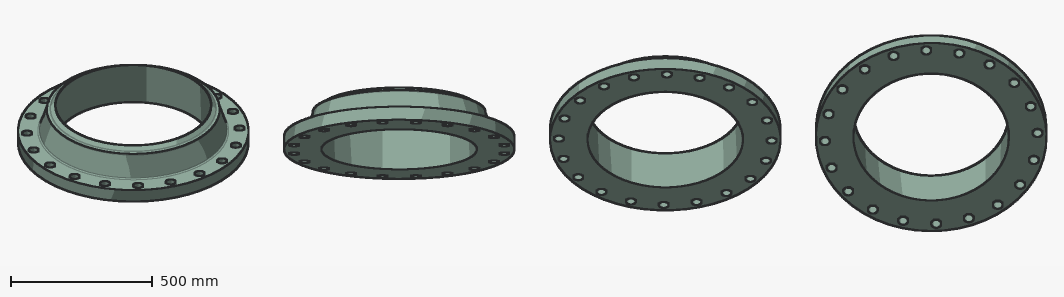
import cadquery as cq

flange_diameter = 812.8
flange_thickness = 47.8
overall_height = 152.4
bore_diameter = 547.7

bolt_count = 20
bolt_circle_diameter = 749.3
bolt_hole_diameter = 35.0

hub_base_diameter = 663.6
hub_neck_diameter = 609.6
hub_neck_length = 5.0
hub_fillet_radius = 6.0

bevel_height = 14.2
bevel_base_diameter = 584.6
bevel_fillet_radius = 3.0
land_width = 1.6
shoulder_rise = 2.6

bore_radius = bore_diameter / 2
flange_radius = flange_diameter / 2
hub_base_radius = hub_base_diameter / 2
hub_neck_radius = hub_neck_diameter / 2
bevel_base_radius = bevel_base_diameter / 2
bevel_base_z = overall_height - bevel_height
neck_top_z = bevel_base_z - shoulder_rise
neck_bottom_z = neck_top_z - hub_neck_length


def make_body():
    """Revolve the flange, hub and weld end about Z, bored through."""
    profile = (
        cq.Workplane("XZ")
        .moveTo(bore_radius, 0)
        .lineTo(flange_radius, 0)
        .lineTo(flange_radius, flange_thickness)
        .lineTo(hub_base_radius, flange_thickness)
        .lineTo(hub_neck_radius, neck_bottom_z)
        .lineTo(hub_neck_radius, neck_top_z)
        .lineTo(bevel_base_radius, bevel_base_z)
        .lineTo(bore_radius + land_width, overall_height)
        .lineTo(bore_radius, overall_height)
        .close()
    )
    return profile.revolve(360, (0, 0, 0), (0, 1, 0))


def ring_edge(body, radius, z):
    """Select the circular edge of the given radius at height z."""
    margin = 0.5
    outer = radius + margin
    outer_box = cq.selectors.BoxSelector(
        (-outer, -outer, z - margin),
        (outer, outer, z + margin),
        boundingbox=True,
    )
    return body.edges(outer_box)


def fillet_hub_root(body):
    """Blend the foot of the hub into the top face of the flange."""
    return ring_edge(body, hub_base_radius, flange_thickness).fillet(hub_fillet_radius)


def fillet_bevel_foot(body):
    """Blend the foot of the weld bevel into the sloped shoulder."""
    return ring_edge(body, bevel_base_radius, bevel_base_z).fillet(bevel_fillet_radius)


def drill_bolt_holes(body):
    """Drill the evenly spaced bolt holes through the flange."""
    holes = (
        cq.Workplane("XY")
        .polarArray(bolt_circle_diameter / 2, 0, 360, bolt_count)
        .circle(bolt_hole_diameter / 2)
        .extrude(flange_thickness)
    )
    return body.cut(holes)


result = drill_bolt_holes(fillet_bevel_foot(fillet_hub_root(make_body())))